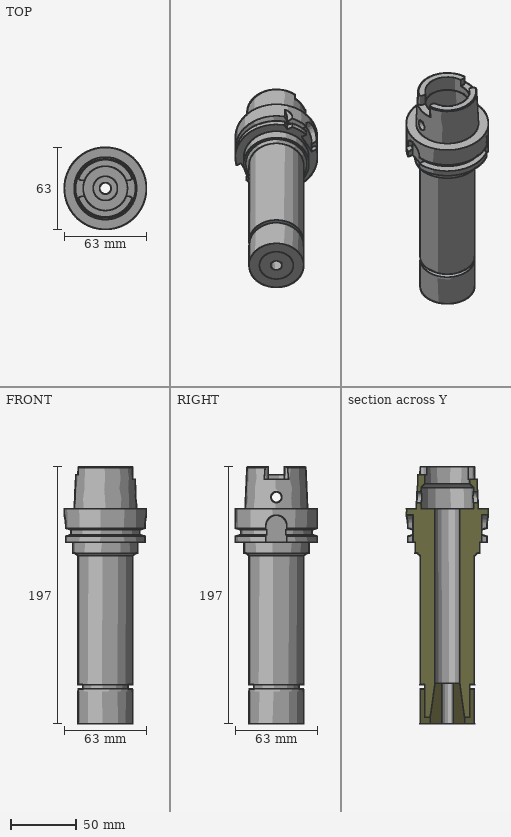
import cadquery as cq
import math


taper_length = 32.0
taper_base_radius = 24.0
taper_top_radius = 22.6
taper_top_chamfer = 0.7
cross_hole_diameter = 8.0
cross_hole_z = 8.7

key_slot_width = 12.2
key_slot_corner_radius = 3.2
key_slot_outer_x = 21.0
key_slot_depths = {-1: 6.1, 1: 9.5}

flange_radius = 31.5
flange_height = 26.0
groove_radius = 27.5
groove_top_z = -15.0
groove_bottom_z = -21.3
groove_side_height = 1.3
collar_radius = 25.0
collar_bottom_z = -34.2
collar_chamfer_radius = 23.4
collar_chamfer_height = 2.0

flange_slot_width = 16.0
flange_slot_top_z = -5.1
flange_slot_floor_x = 26.5
corner_notch_floor_x = 20.3
corner_notch_center_y = 27.6

total_bottom_z = -165.0
body_radius = 21.0
body_bottom_z = -134.8
neck_radius = 17.5
nut_radius = 21.0
nut_top_z = -138.1
nut_chamfer_height = 2.0
nut_chamfer_width = 0.3
nut_lip_thickness = 5.0

rim_bore_radius = 17.0
rim_bore_depth = 12.9
cavity_radius = 20.0
cavity_floor_z = 0.0
through_bore_radius = 9.3

collet_bore_radius = 4.3
collet_mouth_radius = 13.0
collet_angle = 8.0
nut_lip_top_z = total_bottom_z + nut_lip_thickness
collet_cone_length = (collet_mouth_radius - through_bore_radius) / math.tan(math.radians(collet_angle))
collet_top_z = nut_lip_top_z + collet_cone_length


def revolve_profile(points):
    """Solid of revolution about Z from (radius, z) points."""
    return cq.Workplane("YZ").polyline(points).close().revolve(360, (0, 0), (0, 1))


def holder_blank():
    outside = [
        (0, taper_length),
        (taper_top_radius - taper_top_chamfer, taper_length),
        (taper_top_radius, taper_length - taper_top_chamfer),
        (taper_base_radius, 0),
        (flange_radius, 0),
        (flange_radius, groove_top_z),
        (groove_radius, groove_top_z - groove_side_height),
        (groove_radius, groove_bottom_z + groove_side_height),
        (flange_radius, groove_bottom_z),
        (flange_radius, -flange_height),
        (collar_radius, -flange_height),
        (collar_radius, collar_bottom_z),
        (collar_chamfer_radius, collar_bottom_z),
        (body_radius, collar_bottom_z - collar_chamfer_height),
        (body_radius, body_bottom_z),
        (neck_radius, body_bottom_z),
        (neck_radius, nut_lip_top_z),
        (0, nut_lip_top_z),
    ]
    return revolve_profile(outside)


def holder_bore():
    rim_bore_bottom_z = taper_length - rim_bore_depth
    inside = [
        (0, taper_length),
        (rim_bore_radius, taper_length),
        (rim_bore_radius, rim_bore_bottom_z),
        (cavity_radius, rim_bore_bottom_z - (cavity_radius - rim_bore_radius)),
        (cavity_radius, cavity_floor_z),
        (through_bore_radius, cavity_floor_z),
        (through_bore_radius, collet_top_z),
        (collet_mouth_radius, nut_lip_top_z),
        (0, nut_lip_top_z),
    ]
    return revolve_profile(inside)


def key_slot(side, depth):
    """Radial slot through the rim whose outer corners are rounded over."""
    half_width = key_slot_width / 2
    wide_half = half_width + key_slot_corner_radius
    arc_start_x = key_slot_outer_x - key_slot_corner_radius
    arc_offset = key_slot_corner_radius * math.sqrt(0.5)
    arc_mid_x = arc_start_x + arc_offset
    arc_mid_y = wide_half - arc_offset
    plan = (
        cq.Workplane("XY", origin=(0, 0, taper_length - depth))
        .moveTo(0, -half_width)
        .lineTo(arc_start_x, -half_width)
        .threePointArc((arc_mid_x, -arc_mid_y), (key_slot_outer_x, -wide_half))
        .lineTo(taper_base_radius, -wide_half)
        .lineTo(taper_base_radius, wide_half)
        .lineTo(key_slot_outer_x, wide_half)
        .threePointArc((arc_mid_x, arc_mid_y), (arc_start_x, half_width))
        .lineTo(0, half_width)
        .close()
    )
    slot = plan.extrude(depth)
    return slot if side > 0 else slot.rotate((0, 0, 0), (0, 0, 1), 180)


def flange_slot(side, floor_x, center_y):
    """Round-topped slot cut inward along X and open at the flange underside."""
    radius = flange_slot_width / 2
    arch_z = flange_slot_top_z - radius
    return (
        cq.Workplane("YZ", origin=(side * floor_x, 0, 0))
        .moveTo(center_y - radius, -flange_height)
        .lineTo(center_y - radius, arch_z)
        .threePointArc((center_y, flange_slot_top_z), (center_y + radius, arch_z))
        .lineTo(center_y + radius, -flange_height)
        .close()
        .extrude(side * (flange_radius - floor_x))
    )


def make_holder():
    holder = holder_blank().cut(holder_bore())
    for side, depth in key_slot_depths.items():
        holder = holder.cut(key_slot(side, depth))
        holder = holder.cut(flange_slot(side, flange_slot_floor_x, 0))
    holder = holder.cut(flange_slot(-1, corner_notch_floor_x, corner_notch_center_y))
    cross_hole = (
        cq.Workplane("YZ", origin=(-taper_base_radius, 0, 0))
        .center(0, cross_hole_z)
        .circle(cross_hole_diameter / 2)
        .extrude(2 * taper_base_radius)
    )
    return holder.cut(cross_hole)


def make_nut():
    """Cap nut around the neck, with an inward lip around the collet mouth."""
    section = [
        (neck_radius, nut_top_z),
        (nut_radius - nut_chamfer_width, nut_top_z),
        (nut_radius, nut_top_z - nut_chamfer_height),
        (nut_radius, total_bottom_z),
        (collet_mouth_radius, total_bottom_z),
        (collet_mouth_radius, nut_lip_top_z),
        (neck_radius, nut_lip_top_z),
    ]
    return revolve_profile(section)


def make_collet():
    """Bored collet: a cone in the holder seat and a plain mouth in the nut lip."""
    section = [
        (collet_bore_radius, collet_top_z),
        (through_bore_radius, collet_top_z),
        (collet_mouth_radius, nut_lip_top_z),
        (collet_mouth_radius, total_bottom_z),
        (collet_bore_radius, total_bottom_z),
    ]
    return revolve_profile(section)


holder = make_holder()
nut = make_nut()
collet = make_collet()

result = cq.Compound.makeCompound([holder.val(), nut.val(), collet.val()])